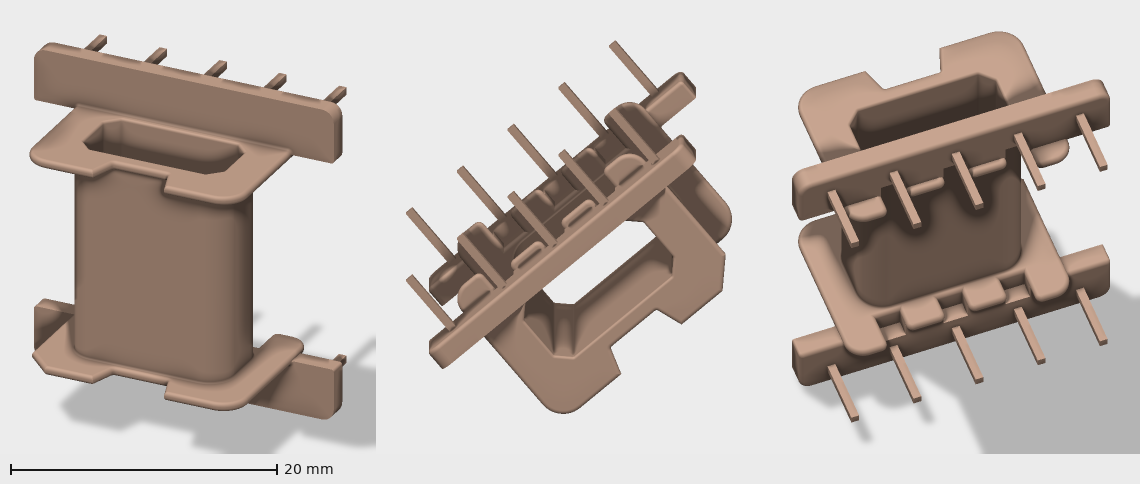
import cadquery as cq
import math


tube_width = 13.1
tube_depth = 6.95
tube_corner_radius = 2.05
wall = 0.68
bore_width = tube_width - 2 * wall
bore_depth = tube_depth - 2 * wall
bore_corner_chamfer = 1.05
bore_edge_radius = 0.2
bore_mouth_fillet = 0.2
tube_root_fillet = 0.15

height = 26.0
flange_outer_z = 9.0
flange_thickness = 0.7
flange_inner_z = flange_outer_z - flange_thickness
flange_edge_fillet = 0.3
flange_width = 18.0
flange_front_y = -6.14
flange_front_corner = 2.0
notch_floor_y = -4.03
notch_floor_half_width = 2.25
notch_mouth_half_width = 2.96
notch_corner_radius = 0.2

pin_count = 5
pin_pitch = 5.0
pin_size = 0.62
pin_tip_y = 10.27
pin_z = 11.25

lobe_back_y = 6.79
lobe_outer_radius = 1.5
tab_back_y = 5.82
tab_corner_radius = 0.5
slot_width = 1.98
slot_floor_y = 3.95
slot_end_z = 9.98
slot_positions = (-pin_pitch, 0, pin_pitch)

plate_width = 25.0
plate_thickness = 1.72
plate_front_y = tube_depth / 2
plate_back_y = plate_front_y + plate_thickness
plate_inner_z = flange_outer_z - flange_thickness / 2
plate_outer_z = height / 2
plate_outer_radius = 1.0
plate_inner_radius = 0.2
plate_back_fillet = 0.3
plate_root_fillet = 0.2

margin = 0.03


def block(x_min, x_max, y_min, y_max, z_min, z_max):
    """Box between two opposite corners."""
    size = (x_max - x_min, y_max - y_min, z_max - z_min)
    return cq.Workplane("XY").box(*size, centered=False).translate((x_min, y_min, z_min))


def centred_box(width, depth, z_min, z_max):
    """Selector for edges inside a box centred on the tube axis."""
    x = width / 2 + margin
    y = depth / 2 + margin
    return cq.selectors.BoxSelector((-x, -y, z_min - margin), (x, y, z_max + margin), boundingbox=True)


def wire_slots():
    """Cutters for the three slots that lead the wires through the flange and up the plate's back."""
    half = slot_width / 2
    slots = cq.Workplane("XY")
    for slot_x in slot_positions:
        slots = slots.union(
            block(slot_x - half, slot_x + half, slot_floor_y, lobe_back_y, flange_inner_z, slot_end_z)
        )
    return slots


def flange(bevel_corner):
    """Upper flange; its left front corner is bevelled instead of round when asked."""
    half = flange_width / 2
    plate = block(-half, half, flange_front_y, lobe_back_y, flange_inner_z, flange_outer_z)
    if bevel_corner:
        plate = plate.edges("|Z and <X and <Y").chamfer(flange_front_corner)
        plate = plate.edges("|Z and >X and <Y").fillet(flange_front_corner)
    else:
        plate = plate.edges("|Z and <Y").fillet(flange_front_corner)
    plate = plate.edges("|Z and >Y").fillet(lobe_outer_radius)

    tabs_half_width = pin_pitch + slot_width / 2
    plate = plate.cut(
        block(-tabs_half_width, tabs_half_width, tab_back_y, lobe_back_y, flange_inner_z, flange_outer_z)
    )
    plate = plate.cut(wire_slots())
    tip_corners = cq.selectors.BoxSelector(
        (-tabs_half_width - margin, tab_back_y - margin, flange_inner_z),
        (tabs_half_width + margin, lobe_back_y + margin, flange_outer_z),
    )
    plate = plate.edges("|Z").edges(tip_corners).fillet(tab_corner_radius)

    notch = (
        cq.Workplane("XY", origin=(0, 0, flange_inner_z))
        .polyline(
            [
                (-notch_mouth_half_width, flange_front_y),
                (-notch_floor_half_width, notch_floor_y),
                (notch_floor_half_width, notch_floor_y),
                (notch_mouth_half_width, flange_front_y),
            ]
        )
        .close()
        .extrude(flange_thickness)
        .edges("|Z and >Y")
        .fillet(notch_corner_radius)
    )
    return plate.cut(notch).faces("|Z").edges().fillet(flange_edge_fillet)


def pin_plate():
    """Upper pin plate, its inner edge sunk halfway into the flange."""
    half = plate_width / 2
    plate = block(-half, half, plate_front_y, plate_back_y, plate_inner_z, plate_outer_z)
    plate = plate.edges("|Y and >Z").fillet(plate_outer_radius)
    plate = plate.edges("|Y and <Z").fillet(plate_inner_radius)
    plate = plate.faces(">Y").edges().fillet(plate_back_fillet)
    return plate.cut(wire_slots())


def plate_root():
    """Concave fillet between plate and flange, wrapped around both rounded flange edges."""
    bend_x = flange_width / 2 - flange_edge_fillet
    bend_z = flange_outer_z - flange_edge_fillet
    sunk_z = flange_outer_z - flange_edge_fillet / 2
    top_z = flange_outer_z + plate_root_fillet
    toe_y = plate_front_y - plate_root_fillet
    sag = plate_root_fillet * math.sqrt(0.5)

    def section(x):
        return (
            cq.Workplane("YZ", origin=(x, 0, 0))
            .moveTo(plate_front_y, sunk_z)
            .lineTo(plate_front_y, top_z)
            .threePointArc((toe_y + sag, top_z - sag), (toe_y, flange_outer_z))
            .lineTo(toe_y, sunk_z)
            .close()
        )

    right_bend = section(bend_x).revolve(90, (0, bend_z), (1, bend_z))
    left_bend = section(-bend_x).revolve(90, (0.25, bend_z), (0, bend_z))
    return section(-bend_x).extrude(2 * bend_x).union(right_bend).union(left_bend)


def pins():
    """Row of square pins at the upper end, rooted in the middle of the plate."""
    root_y = plate_front_y + plate_thickness / 2
    row = cq.Workplane("XY")
    for index in range(pin_count):
        pin_x = (index - (pin_count - 1) / 2) * pin_pitch
        row = row.union(
            block(
                pin_x - pin_size / 2,
                pin_x + pin_size / 2,
                root_y,
                pin_tip_y,
                pin_z - pin_size / 2,
                pin_z + pin_size / 2,
            )
        )
    return row


def half_tube():
    """Upper half of the winding tube, still solid."""
    tube = cq.Workplane("XY").rect(tube_width, tube_depth).extrude(plate_inner_z)
    return tube.edges("|Z").fillet(tube_corner_radius)


def upper_half(bevel_corner):
    """Tube half, flange, plate and pins of one end."""
    body = flange(bevel_corner).union(half_tube())
    tube_root = centred_box(tube_width, tube_depth, flange_inner_z, flange_inner_z)
    body = body.edges(tube_root).fillet(tube_root_fillet)
    return body.union(pin_plate()).union(plate_root()).union(pins())


def bore():
    """Eight-sided core opening, running through the whole tube."""
    opening = cq.Workplane("XY").rect(bore_width, bore_depth).extrude(2 * flange_outer_z)
    opening = opening.edges("|Z").chamfer(bore_corner_chamfer)
    opening = opening.edges("|Z").fillet(bore_edge_radius)
    return opening.translate((0, 0, -flange_outer_z))


upper = upper_half(bevel_corner=False)
lower = upper_half(bevel_corner=True).mirror("XY")
body = upper.union(lower).cut(bore())
bore_mouths = centred_box(bore_width, bore_depth, -flange_outer_z, flange_outer_z)
result = body.faces("|Z").edges(bore_mouths).fillet(bore_mouth_fillet)